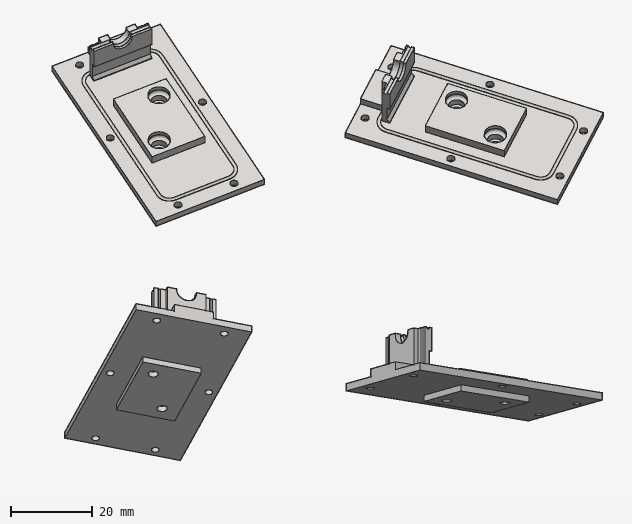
import cadquery as cq

plate_length = 56.5
plate_width = 30.0
plate_thickness = 1.85
plate_left = -plate_length / 2

pad_length = 21.0
pad_center_x = 0.45
upper_pad_width = 14.6
upper_pad_height = 2.4
lower_pad_width = 15.15
lower_pad_height = 1.6
lower_pad_center_y = -0.3

groove_radius = 0.45
groove_left = plate_left + 6.15
groove_right = plate_length / 2 - 4.5
groove_width = 21.0
groove_corner_radius = 3.0

wall_left = plate_left + 6.95
wall_right = plate_left + 8.25
wall_width = 16.05
wall_height = 11.3
wall_top = plate_thickness + wall_height
lip_thickness = 0.8
lip_height = 5.95
foot_reach = 0.8
foot_edge_height = 0.2
tongue_left = plate_left + 5.7
tongue_width = 10.05
entry_block_height = 2.0

notch_radius = 2.55
notch_center_z = wall_top - 0.4
top_groove_x = plate_left + 7.85
v_groove_y = 6.7
v_groove_width = 0.75
v_groove_depth = 0.2

screw_diameter = 1.9
screw_offsets = [(2.75, 8.75), (27.25, 12.75), (54.2, 7.75)]
screw_points = [(plate_left + x, side * y) for x, y in screw_offsets for side in (1, -1)]

seat_points = [(-6.05, 3.3), (6.95, -3.3)]
seat_diameter = 5.5
seat_bore_diameter = 4.0
seat_hole_diameter = 2.5
ring_center_radius = 2.4
ring_section_radius = 0.75
ring_depth = 1.8


def box(x_min, x_max, width, z_min, height, center_y=0.0):
    """Block between two X positions, centred on center_y."""
    length = x_max - x_min
    return cq.Workplane("XY").box(length, width, height, centered=(False, True, False)).translate(
        (x_min, center_y, z_min)
    )


def base_with_pads():
    pad_left = pad_center_x - pad_length / 2
    pad_right = pad_center_x + pad_length / 2
    plate = box(plate_left, -plate_left, plate_width, 0, plate_thickness)
    upper = box(pad_left, pad_right, upper_pad_width, plate_thickness, upper_pad_height)
    lower = box(
        pad_left, pad_right, lower_pad_width, -lower_pad_height, lower_pad_height, lower_pad_center_y
    )
    return plate.union(upper).union(lower)


def wall():
    """Wall section with a lip at the top and a sloped foot, extruded along Y."""
    lip_right = wall_right + lip_thickness
    foot_right = wall_right + foot_reach
    foot_top = plate_thickness + foot_edge_height
    section = [
        (wall_left, plate_thickness),
        (foot_right, plate_thickness),
        (foot_right, foot_top),
        (wall_right, foot_top + foot_reach),
        (wall_right, wall_top - lip_height),
        (lip_right, wall_top - lip_height),
        (lip_right, wall_top),
        (wall_left, wall_top),
    ]
    body = cq.Workplane("XZ").polyline(section).close().extrude(wall_width / 2, both=True)
    tongue = box(tongue_left, wall_left, tongue_width, plate_thickness, wall_height)
    block = box(plate_left, tongue_left, tongue_width, plate_thickness, entry_block_height)
    return body.union(tongue).union(block)


def notch_cutter():
    """U-shaped slot open at the top of the wall."""
    return (
        cq.Workplane("YZ", origin=(tongue_left, 0, notch_center_z))
        .moveTo(-notch_radius, wall_height)
        .lineTo(-notch_radius, 0)
        .threePointArc((0, -notch_radius), (notch_radius, 0))
        .lineTo(notch_radius, wall_height)
        .close()
        .extrude(wall_right + lip_thickness - tongue_left)
    )


def wall_seal_groove():
    """Round groove along the wall top and around the inside of the notch."""
    straight = (
        cq.Workplane("XZ", origin=(top_groove_x, 0, wall_top))
        .circle(groove_radius)
        .extrude(wall_width / 2, both=True)
    )
    bend = (
        cq.Workplane("XY", origin=(top_groove_x, notch_radius, notch_center_z))
        .circle(groove_radius)
        .revolve(180, (0, -notch_radius), (-1, -notch_radius))
    )
    cutter = straight.union(bend)
    for side in (1, -1):
        flank = (
            cq.Workplane("XY", origin=(top_groove_x, side * notch_radius, notch_center_z))
            .circle(groove_radius)
            .extrude(wall_top - notch_center_z)
        )
        cutter = cutter.union(flank)
    return cutter


def v_groove(center_y):
    """Upright V groove in the outer face of the wall."""
    half_width = v_groove_width / 2
    return (
        cq.Workplane("XY", origin=(wall_left, center_y, plate_thickness))
        .polyline([(0, -half_width), (v_groove_depth, 0), (0, half_width)])
        .close()
        .extrude(wall_height)
    )


def plate_seal_groove():
    """Round groove whose centre line is a rounded rectangle on the plate top."""
    half_width = groove_width / 2
    straight_half_width = half_width - groove_corner_radius
    straight_left = groove_left + groove_corner_radius
    straight_right = groove_right - groove_corner_radius
    run_length = straight_right - straight_left
    cross_runs = (
        cq.Workplane("XZ", origin=(0, 0, plate_thickness))
        .pushPoints([(groove_left, 0), (groove_right, 0)])
        .circle(groove_radius)
        .extrude(straight_half_width, both=True)
    )
    long_runs = (
        cq.Workplane("YZ", origin=(straight_left, 0, plate_thickness))
        .pushPoints([(-half_width, 0), (half_width, 0)])
        .circle(groove_radius)
        .extrude(run_length)
    )
    cutter = cross_runs.union(long_runs)
    bend_centers = [
        (straight_right, straight_half_width),
        (straight_left, straight_half_width),
        (straight_left, -straight_half_width),
        (straight_right, -straight_half_width),
    ]
    for quarter, (x, y) in enumerate(bend_centers):
        bend = (
            cq.Workplane("XZ")
            .center(groove_corner_radius, 0)
            .circle(groove_radius)
            .revolve(90, (-groove_corner_radius, 0), (-groove_corner_radius, 1))
            .rotate((0, 0, 0), (0, 0, 1), 90 * quarter)
            .translate((x, y, plate_thickness))
        )
        cutter = cutter.union(bend)
    return cutter


def screw_seat():
    """Stepped screw hole from the upper pad, with a rounded ring recess below its mouth."""
    pad_top = plate_thickness + upper_pad_height
    ring_z = pad_top - ring_depth
    mouth = cq.Workplane("XY", origin=(0, 0, ring_z)).circle(seat_diameter / 2).extrude(ring_depth)
    bore = cq.Workplane("XY").circle(seat_bore_diameter / 2).extrude(pad_top)
    ring = (
        cq.Workplane("XZ", origin=(0, 0, ring_z))
        .center(ring_center_radius, 0)
        .circle(ring_section_radius)
        .revolve(360, (-ring_center_radius, 0), (-ring_center_radius, 1))
    )
    hole = (
        cq.Workplane("XY", origin=(0, 0, -lower_pad_height))
        .circle(seat_hole_diameter / 2)
        .extrude(pad_top + lower_pad_height)
    )
    return mouth.union(bore).union(ring).union(hole)


result = base_with_pads().union(wall())
result = result.cut(notch_cutter())
result = result.cut(wall_seal_groove())
for groove_side in (1, -1):
    result = result.cut(v_groove(groove_side * v_groove_y))
result = result.cut(plate_seal_groove())
screw_holes = cq.Workplane("XY").pushPoints(screw_points).circle(screw_diameter / 2).extrude(plate_thickness)
result = result.cut(screw_holes)
for seat_x, seat_y in seat_points:
    result = result.cut(screw_seat().translate((seat_x, seat_y, 0)))